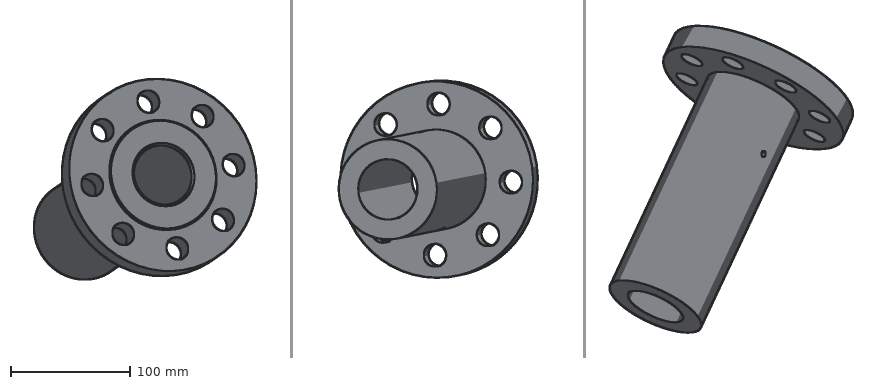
import cadquery as cq
import math

tilt_angle = 29.5
flange_diameter = 165.0
flange_thickness = 20.6
pipe_diameter = 84.1
overall_length = 225.8
raised_face_diameter = 94.5
raised_face_height = 1.5
raised_face_bevel = 1.0
bore_diameter = 50.5
mouth_diameter = 54.5
bolt_circle_diameter = 127.0
bolt_hole_diameter = 19.0
bolt_count = 8
weep_hole_diameter = 5.0
weep_hole_height = 152.8

pipe_length = overall_length - flange_thickness
face_height = overall_length + raised_face_height
mouth_chamfer = (mouth_diameter - bore_diameter) / 2


def cylinder(diameter, start, height):
    """Solid cylinder on the Z axis, rising from the given height."""
    return cq.Workplane("XY").workplane(offset=start).circle(diameter / 2).extrude(height)


def bolt_holes():
    """Ring of through holes straddling the X and Y axes."""
    half_pitch = 180 / bolt_count
    return (
        cq.Workplane("XY")
        .workplane(offset=pipe_length)
        .polarArray(bolt_circle_diameter / 2, half_pitch, 360, bolt_count)
        .circle(bolt_hole_diameter / 2)
        .extrude(flange_thickness)
    )


def raised_face():
    """Sealing face whose rim slopes inward from the flange to the top."""
    slope = math.degrees(math.atan2(raised_face_bevel, raised_face_height))
    return (
        cq.Workplane("XY")
        .workplane(offset=overall_length)
        .circle(raised_face_diameter / 2)
        .extrude(raised_face_height, taper=slope)
    )


def weep_hole():
    """Small radial hole from the bore out through the +X wall of the pipe."""
    return (
        cq.Workplane("YZ")
        .center(0, weep_hole_height)
        .circle(weep_hole_diameter / 2)
        .extrude(pipe_diameter)
    )


body = cylinder(pipe_diameter, 0, pipe_length)
body = body.union(cylinder(flange_diameter, pipe_length, flange_thickness))
body = body.union(raised_face())

body = body.cut(cylinder(bore_diameter, 0, face_height))
body = body.faces(">Z").edges(cq.selectors.RadiusNthSelector(0)).chamfer(mouth_chamfer)
body = body.cut(bolt_holes())
body = body.cut(weep_hole())

result = body.rotate((0, 0, 0), (0, 1, 0), tilt_angle)